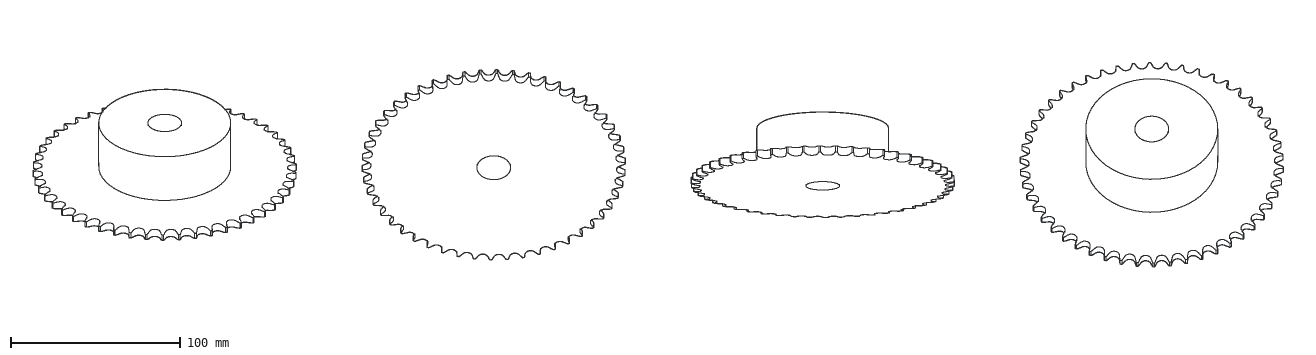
import cadquery as cq
import math

outer_diameter = 155.7
total_height = 35.0
plate_thickness = 5.0
hub_diameter = 78.0
bore_diameter = 20.0

tooth_count = 50
pitch_radius = 75.8
seat_radius = 3.3
seat_half_angle = 52.0
shoulder_radius = 76.9
shoulder_width = 1.9
tip_width = 1.1
flank_bulge = 0.08

rounding_start_radius = 73.5
rounding_arc_radius = 13.5

outer_radius = outer_diameter / 2
tooth_angle = 2 * math.pi / tooth_count


def turned(point, angle):
    """Rotate a point about the sprocket axis."""
    x, y = point
    return (
        x * math.cos(angle) - y * math.sin(angle),
        x * math.sin(angle) + y * math.cos(angle),
    )


def mirrored(point):
    """Reflect a point across the centre line of the gap that lies on the X axis."""
    return (point[0], -point[1])


def tooth_side_point(radius, tooth_width):
    """Point on the side of the tooth above a gap that lies on the X axis."""
    half_angle = math.asin(tooth_width / 2 / radius)
    return turned((radius, 0), tooth_angle / 2 - half_angle)


def tooth_profile():
    """Closed outline of all the teeth, with one tooth centred on the +X axis."""
    seat_angle = math.radians(seat_half_angle)
    seat_end = (
        pitch_radius - seat_radius * math.cos(seat_angle),
        seat_radius * math.sin(seat_angle),
    )
    shoulder = tooth_side_point(shoulder_radius, shoulder_width)
    tip_corner = tooth_side_point(outer_radius, tip_width)

    run = shoulder[0] - seat_end[0]
    rise = shoulder[1] - seat_end[1]
    chord = math.hypot(run, rise)
    flank_middle = (
        (seat_end[0] + shoulder[0]) / 2 - flank_bulge * rise / chord,
        (seat_end[1] + shoulder[1]) / 2 + flank_bulge * run / chord,
    )
    tip_middle = turned((outer_radius, 0), tooth_angle / 2)
    next_corner = turned(mirrored(tip_corner), tooth_angle)
    seat_bottom = (pitch_radius - seat_radius, 0)

    def placed(point, index):
        return turned(point, (index + 0.5) * tooth_angle)

    outline = cq.Workplane("XY").moveTo(*placed(mirrored(tip_corner), 0))
    for gap in range(tooth_count):
        outline = (
            outline.lineTo(*placed(mirrored(shoulder), gap))
            .threePointArc(placed(mirrored(flank_middle), gap), placed(mirrored(seat_end), gap))
            .threePointArc(placed(seat_bottom, gap), placed(seat_end, gap))
            .threePointArc(placed(flank_middle, gap), placed(shoulder, gap))
            .lineTo(*placed(tip_corner, gap))
            .threePointArc(placed(tip_middle, gap), placed(next_corner, gap))
        )
    return outline.close()


def rounded_disc():
    """Disc whose rim thins towards the tooth tips along an arc on both faces."""
    rounding_width = outer_radius - rounding_start_radius

    def drop(distance):
        return rounding_arc_radius - math.sqrt(rounding_arc_radius**2 - distance**2)

    tip_drop = drop(rounding_width)
    middle_drop = drop(rounding_width / 2)
    middle_radius = rounding_start_radius + rounding_width / 2
    return (
        cq.Workplane("XZ")
        .lineTo(rounding_start_radius, 0)
        .threePointArc((middle_radius, middle_drop), (outer_radius, tip_drop))
        .lineTo(outer_radius, plate_thickness - tip_drop)
        .threePointArc(
            (middle_radius, plate_thickness - middle_drop),
            (rounding_start_radius, plate_thickness),
        )
        .lineTo(0, plate_thickness)
        .close()
        .revolve(360, (0, 0, 0), (0, 1, 0))
    )


toothed_plate = tooth_profile().extrude(plate_thickness).intersect(rounded_disc())
hub = cq.Workplane("XY").circle(hub_diameter / 2).extrude(total_height)
bore = cq.Workplane("XY").circle(bore_diameter / 2).extrude(total_height)

result = toothed_plate.union(hub).cut(bore)